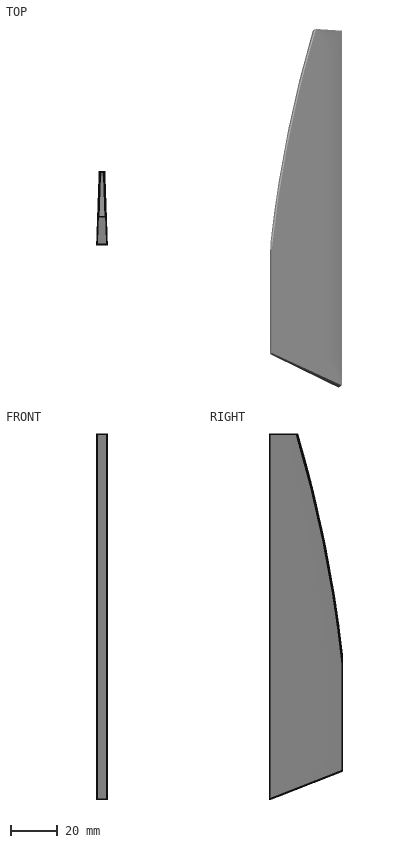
import cadquery as cq

HEIGHT = 156.0
WIDTH = 31.0
THICK_FRONT = 4.4
THICK_BACK = 2.2

TOP_WIDTH = 11.9
BACK_BOTTOM = 12.2
BACK_TOP = 61.2
ARC_MID = (23.4, 109.7)

EDGE_BREAK = 0.39


def side_outline():
    """Blade outline in the YZ plane, extruded symmetrically to full thickness."""
    return (
        cq.Workplane("YZ")
        .lineTo(WIDTH, BACK_BOTTOM)
        .lineTo(WIDTH, BACK_TOP)
        .threePointArc(ARC_MID, (TOP_WIDTH, HEIGHT))
        .lineTo(0, HEIGHT)
        .close()
        .extrude(THICK_FRONT / 2, both=True)
    )


def taper_envelope():
    """Prism that thins from the front edge to the back edge."""
    return (
        cq.Workplane("XY")
        .moveTo(-THICK_FRONT / 2, 0)
        .lineTo(THICK_FRONT / 2, 0)
        .lineTo(THICK_BACK / 2, WIDTH)
        .lineTo(-THICK_BACK / 2, WIDTH)
        .close()
        .extrude(HEIGHT)
    )


blade = side_outline().intersect(taper_envelope())

result = blade.edges("not %LINE").chamfer(EDGE_BREAK)